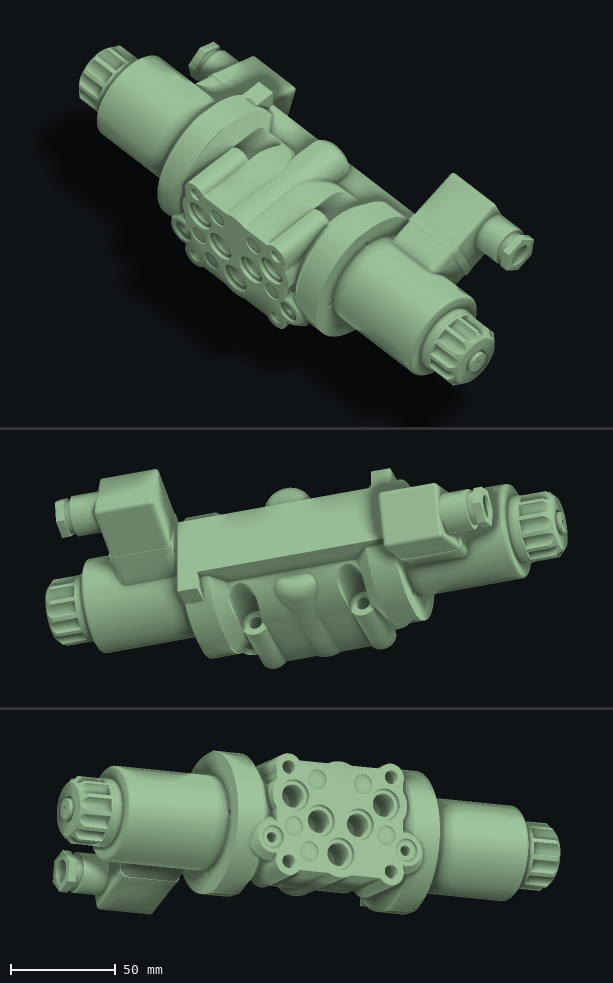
import cadquery as cq
import math


TOTAL_LENGTH = 257.0
TOTAL_HEIGHT = 68.5
FLANGE_OUTER_X = 53.2
COIL_END_X = 105.5

FACE_Y = -35.0
BACK_Y = 35.0
CORE_RADIUS = 26.7
CORE_BACK_HALF_HEIGHT = 15.2
PLATE_HALF_LENGTH = 33.2
FLANGE_RADIUS = 34.0
FLANGE_HALF_HEIGHT = TOTAL_HEIGHT / 2
FLANGE_SHOULDER_Y = -6.0
FLANGE_INNER_X = 39.5
FLANGE_CONE_LENGTH = FLANGE_RADIUS - CORE_RADIUS
CORNER_TOP_Z = 24.5
CORNER_WIDTH = 9.5

RIDGE_RADIUS = 12.8
RIDGE_TOP_Z = 28.3
RIDGE_CENTRE_Z = RIDGE_TOP_Z - RIDGE_RADIUS
RIDGE_TAPER = 0.8
UPPER_RIDGE_END_Y = 34.0
LOWER_RIDGE_END_Y = 20.5
RIDGE_END_FILLET = 6.2

SCREW_SPACING_X = 54.0
SCREW_SPACING_Z = 46.0
SCREW_X = SCREW_SPACING_X / 2
SCREW_Z = SCREW_SPACING_Z / 2
SCREW_HOLE_RADIUS = 3.3
SCREW_BOSS_RADIUS = 6.7
SCREW_SEAT_Y = -4.0
SCREW_SEAT_END_Y = 25.7

PORT_RADIUS = 5.7
PORT_SEAL_RADIUS = 7.7
PORT_SEAL_DEPTH = 2.0
PORT_DEPTH = 18.0
TANK_PORT = (24.0, 9.5)
WORK_PORT = (10.3, -1.5)
PRESSURE_PORT = (0.0, -16.7)
TANK_COLUMN_RADIUS = 11.5
TANK_COLUMN_END_Y = 0.0

PILOT_X = 35.2
PILOT_Z = -11.8
PILOT_RADIUS = 2.5
PILOT_SEAL_RADIUS = 5.7
PILOT_SEAL_DEPTH = 1.5
PILOT_DEPTH = 10.3
PILOT_BOSS_RADIUS = 7.7
PILOT_BOSS_ROOT_RADIUS = 10.8
PILOT_BOSS_ROOT_Y = -30.8
PILOT_BOSS_END_Y = -10.3
DRILL_TIP_ANGLE = 118.0

LABEL_RADIUS = 5.0
LABEL_DEPTH = 0.8
LABELS = [(-12.0, 18.2), (12.0, 18.2), (-24.5, -5.7), (24.5, -5.7), (-16.2, -17.2)]

FLANGE_PIN_HOLE_RADIUS = 2.0
FLANGE_PIN_HOLE_CIRCLE = 24.0
FLANGE_PIN_HOLE_DEPTH = 3.9
FLANGE_PIN_HOLE_COUNT = 4

COIL_RADIUS = 23.0
COIL_FILLET = 1.5
PLUG_TILT = 20.0
PLUG_X = -71.2
PLUG_LENGTH = 29.5
PLUG_HEIGHT = 27.5
PLUG_FILLET = 1.8
PLUG_BASE_FILLET = 3.0
PLUG_SEAM_LOW = 32.0
PLUG_SEAM_HIGH = 36.0
PLUG_SEAM_LENGTH = 31.0
PLUG_SEAM_HEIGHT = 28.0
PLUG_END = 63.7
KEY_HALF_HEIGHT = 8.0

GLAND_OFFSET = 53.7
GLAND_RADIUS = 9.8
GLAND_SHOULDER_X = -99.2
GLAND_NECK_RADIUS = 8.0
GLAND_HEX_X = -102.5
GLAND_HEX_CORNER_RADIUS = 10.0
GLAND_END_X = -106.7
CABLE_HOLE_RADIUS = 5.7
CABLE_HOLE_DEPTH = 10.3

NUT_COLLAR_RADIUS = 16.5
NUT_COLLAR_START_X = 106.5
NUT_COLLAR_END_X = 109.7
NUT_RADIUS = 16.2
NUT_FACE_X = 126.7
NUT_CHAMFER = 3.3
FLUTE_COUNT = 12
FLUTE_RADIUS = 3.3
FLUTE_CIRCLE = 16.7
FLUTE_END_X = 111.3
PIN_RADIUS = 5.1
PIN_GROOVE_RADIUS = 6.5
PIN_GROOVE_DEPTH = 1.3
PIN_HOLE_RADIUS = 1.3
PIN_HOLE_DEPTH = 2.5


def x_cylinder(radius, x_start, x_end, y=0.0, z=0.0):
    """Cylinder along X from x_start to x_end."""
    return cq.Workplane("YZ", origin=(x_start, y, z)).circle(radius).extrude(x_end - x_start)


def y_cylinder(radius, x, z, y_start, y_end):
    """Cylinder along Y from y_start to y_end."""
    return cq.Workplane("XZ", origin=(x, y_start, z)).circle(radius).extrude(y_start - y_end)


def block(x_range, y_range, z_range):
    """Box between the given limits."""
    sizes = [high - low for low, high in (x_range, y_range, z_range)]
    corner = (x_range[0], y_range[0], z_range[0])
    return cq.Workplane("XY", origin=corner).box(*sizes, centered=False)


def other_end(shape):
    """The same shape turned half a turn about Y, for the +X end."""
    return shape.rotate((0, 0, 0), (0, 1, 0), 180)


def drilled_hole(radius, x, z, depth):
    """Hole with a drill-point bottom, sunk into the mounting face."""
    tip = radius / math.tan(math.radians(DRILL_TIP_ANGLE / 2))
    profile = (
        cq.Workplane("XY", origin=(x, FACE_Y, z))
        .polyline([(0, 0), (radius, 0), (radius, depth), (0, depth + tip)])
        .close()
    )
    return profile.revolve(360, (0, 0, 0), (0, 1, 0))




def end_flange():
    """Round flange at the -X end, its cone toward the middle and its square back corner."""
    flange = (
        cq.Workplane("YZ", origin=(-FLANGE_OUTER_X, 0, 0))
        .moveTo(0, -FLANGE_RADIUS)
        .threePointArc((FLANGE_RADIUS, 0), (0, FLANGE_RADIUS))
        .lineTo(FLANGE_SHOULDER_Y, FLANGE_HALF_HEIGHT)
        .threePointArc((-FLANGE_RADIUS, 0), (FLANGE_SHOULDER_Y, -FLANGE_HALF_HEIGHT))
        .close()
        .extrude(FLANGE_OUTER_X - FLANGE_INNER_X)
    )
    cone = (
        cq.Workplane("XY")
        .polyline([
            (-FLANGE_INNER_X, 0),
            (-FLANGE_INNER_X, FLANGE_RADIUS),
            (FLANGE_CONE_LENGTH - FLANGE_INNER_X, CORE_RADIUS),
            (FLANGE_CONE_LENGTH - FLANGE_INNER_X, 0),
        ])
        .close()
        .revolve(360, (0, 0, 0), (1, 0, 0))
    )
    corner = block(
        (-FLANGE_OUTER_X, CORNER_WIDTH - FLANGE_OUTER_X), (0, BACK_Y), (0, CORNER_TOP_Z)
    )
    return flange.union(cone).union(corner)


def ridge(centre_z, end_y):
    """Rounded, slightly tapered ridge from the mounting face toward the back."""
    bar = cq.Workplane("XZ", origin=(0, FACE_Y, centre_z)).circle(RIDGE_RADIUS)
    bar = bar.extrude(FACE_Y - end_y, taper=RIDGE_TAPER)
    return bar.faces(">Y").edges().fillet(RIDGE_END_FILLET)


def core():
    """Round core with its flat back and the two ridges; the upper ridge reaches further back."""
    shape = x_cylinder(CORE_RADIUS, -FLANGE_OUTER_X, FLANGE_OUTER_X)
    shape = shape.union(block(
        (-FLANGE_OUTER_X, FLANGE_OUTER_X),
        (0, BACK_Y),
        (-CORE_BACK_HALF_HEIGHT, CORE_BACK_HALF_HEIGHT),
    ))
    shape = shape.union(ridge(RIDGE_CENTRE_Z, UPPER_RIDGE_END_Y))
    return shape.union(ridge(-RIDGE_CENTRE_Z, LOWER_RIDGE_END_Y))


def plate():
    """Block behind the mounting face, stepped so that the screw bosses form its corners."""
    middle = block((-SCREW_X, SCREW_X), (FACE_Y, 0), (-CORE_RADIUS, CORE_RADIUS))
    sides = block(
        (-PLATE_HALF_LENGTH, PLATE_HALF_LENGTH), (FACE_Y, 0), (-SCREW_Z, SCREW_Z)
    )
    return middle.union(sides)


def pilot_boss(x):
    """Boss around a pilot port, widening where it runs into the flange."""
    boss = y_cylinder(PILOT_BOSS_RADIUS, x, PILOT_Z, FACE_Y, PILOT_BOSS_END_Y)
    root = (
        cq.Workplane("XY", origin=(x, 0, PILOT_Z))
        .polyline([
            (0, FACE_Y),
            (PILOT_BOSS_RADIUS, FACE_Y),
            (PILOT_BOSS_ROOT_RADIUS, PILOT_BOSS_ROOT_Y),
            (0, PILOT_BOSS_ROOT_Y),
        ])
        .close()
        .revolve(360, (0, 0, 0), (0, 1, 0))
    )
    return boss.union(root)


def flange_pin_holes():
    """Small blind holes in the -X coil seat, partly covered by the coil."""
    holes = cq.Workplane("YZ", origin=(-FLANGE_OUTER_X, 0, 0))
    holes = holes.polarArray(FLANGE_PIN_HOLE_CIRCLE, 0, 360, FLANGE_PIN_HOLE_COUNT)
    return holes.circle(FLANGE_PIN_HOLE_RADIUS).extrude(FLANGE_PIN_HOLE_DEPTH)


def make_valve_body():
    body = core().union(plate())
    flange = end_flange()
    body = body.union(flange).union(other_end(flange))
    for side in (-1, 1):
        body = body.union(pilot_boss(side * PILOT_X))
        tank_x, tank_z = TANK_PORT
        body = body.union(
            y_cylinder(TANK_COLUMN_RADIUS, side * tank_x, tank_z, FACE_Y, TANK_COLUMN_END_Y)
        )

    screws = [(x, z) for x in (-SCREW_X, SCREW_X) for z in (-SCREW_Z, SCREW_Z)]
    for x, z in screws:
        body = body.union(y_cylinder(SCREW_BOSS_RADIUS, x, z, FACE_Y, SCREW_SEAT_Y))
    for x, z in screws:
        body = body.cut(y_cylinder(SCREW_BOSS_RADIUS, x, z, SCREW_SEAT_Y, SCREW_SEAT_END_Y))
        body = body.cut(y_cylinder(SCREW_HOLE_RADIUS, x, z, FACE_Y, BACK_Y))

    ports = [PRESSURE_PORT]
    for x, z in (TANK_PORT, WORK_PORT):
        ports += [(-x, z), (x, z)]
    for x, z in ports:
        body = body.cut(drilled_hole(PORT_RADIUS, x, z, PORT_DEPTH))
        body = body.cut(y_cylinder(PORT_SEAL_RADIUS, x, z, FACE_Y, FACE_Y + PORT_SEAL_DEPTH))

    for x in (-PILOT_X, PILOT_X):
        body = body.cut(drilled_hole(PILOT_RADIUS, x, PILOT_Z, PILOT_DEPTH))
        body = body.cut(
            y_cylinder(PILOT_SEAL_RADIUS, x, PILOT_Z, FACE_Y, FACE_Y + PILOT_SEAL_DEPTH)
        )

    for x, z in LABELS:
        body = body.cut(y_cylinder(LABEL_RADIUS, x, z, FACE_Y, FACE_Y + LABEL_DEPTH))

    pin_holes = flange_pin_holes()
    return body.cut(pin_holes).cut(other_end(pin_holes))




def plug_block(length, height, y_start, y_end):
    """Box of the untilted plug, centred on the plug's own axis."""
    return block(
        (PLUG_X - length / 2, PLUG_X + length / 2), (y_start, y_end), (-height / 2, height / 2)
    )


def cable_gland():
    """Gland on the outer end of the untilted plug: barrel, neck and bored hexagon."""
    gland = x_cylinder(GLAND_RADIUS, GLAND_SHOULDER_X, PLUG_X, GLAND_OFFSET)
    gland = gland.union(x_cylinder(GLAND_NECK_RADIUS, GLAND_HEX_X, PLUG_X, GLAND_OFFSET))
    hexagon = (
        cq.Workplane("YZ", origin=(GLAND_END_X, GLAND_OFFSET, 0))
        .polygon(6, 2 * GLAND_HEX_CORNER_RADIUS)
        .extrude(GLAND_HEX_X - GLAND_END_X)
    )
    bore = x_cylinder(
        CABLE_HOLE_RADIUS, GLAND_END_X, GLAND_END_X + CABLE_HOLE_DEPTH, GLAND_OFFSET
    )
    return gland.union(hexagon).cut(bore)


def make_coil():
    """Coil at the -X end with its key, plug and cable gland."""
    coil = x_cylinder(COIL_RADIUS, -COIL_END_X, -FLANGE_OUTER_X)
    coil = coil.faces("<X").edges().fillet(COIL_FILLET)
    key = block(
        (PLUG_X, -FLANGE_OUTER_X), (0, COIL_RADIUS), (-KEY_HALF_HEIGHT, KEY_HALF_HEIGHT)
    )
    base = plug_block(PLUG_LENGTH, PLUG_HEIGHT, 0, PLUG_SEAM_LOW)
    base = base.edges("|Y").fillet(PLUG_BASE_FILLET)
    seam = plug_block(PLUG_SEAM_LENGTH, PLUG_SEAM_HEIGHT, PLUG_SEAM_LOW, PLUG_SEAM_HIGH)
    seam = seam.edges("|Y").fillet(PLUG_BASE_FILLET)
    housing = plug_block(PLUG_LENGTH, PLUG_HEIGHT, PLUG_SEAM_HIGH, PLUG_END)
    housing = housing.edges("|Y or >Y").fillet(PLUG_FILLET)
    plug = base.union(seam).union(housing).union(cable_gland()).union(key)
    return coil.union(plug.rotate((0, 0, 0), (1, 0, 0), -PLUG_TILT))




def make_nut():
    """Fluted nut with its centre pin at the -X end."""
    end_x = TOTAL_LENGTH / 2
    nut = x_cylinder(NUT_RADIUS, -NUT_FACE_X, -COIL_END_X)
    nut = nut.faces("<X").edges().chamfer(NUT_CHAMFER)
    flutes = (
        cq.Workplane("YZ", origin=(-NUT_FACE_X, 0, 0))
        .polarArray(FLUTE_CIRCLE, 0, 360, FLUTE_COUNT)
        .circle(FLUTE_RADIUS)
        .extrude(NUT_FACE_X - FLUTE_END_X)
    )
    nut = nut.cut(flutes)
    nut = nut.union(x_cylinder(NUT_COLLAR_RADIUS, -NUT_COLLAR_END_X, -NUT_COLLAR_START_X))
    nut = nut.cut(x_cylinder(PIN_GROOVE_RADIUS, -NUT_FACE_X, PIN_GROOVE_DEPTH - NUT_FACE_X))
    nut = nut.union(x_cylinder(PIN_RADIUS, -end_x, -COIL_END_X))
    return nut.cut(x_cylinder(PIN_HOLE_RADIUS, -end_x, PIN_HOLE_DEPTH - end_x))


valve_body = make_valve_body()
coil = make_coil()
nut = make_nut()

coils = [coil, other_end(coil)]
nuts = [nut, other_end(nut)]
result = cq.Compound.makeCompound([part.val() for part in [valve_body, *coils, *nuts]])